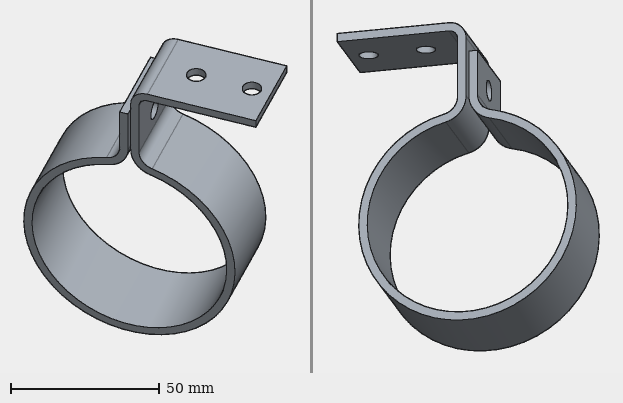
import cadquery as cq
import math

thickness = 3.0
width = 30.0

inner_radius = 35.0
outer_radius = inner_radius + thickness

leg_gap = 1.0
leg_inner_x = leg_gap / 2
leg_outer_x = leg_inner_x + thickness
short_leg_top = 59.0

neck_inner_radius = 6.0
neck_outer_radius = neck_inner_radius + thickness
flange_bend_inner_radius = 3.0
flange_bend_outer_radius = flange_bend_inner_radius + thickness

flange_top = 70.0
flange_end_x = 45.5
flange_underside = flange_top - thickness

clamp_hole_diameter = 7.0
clamp_hole_z = 50.0
flange_hole_diameter = 6.5
flange_hole_edge_distance = 7.0
flange_hole_pitch = 20.0

neck_center_x = leg_outer_x + neck_inner_radius
neck_center_z = math.sqrt((outer_radius + neck_inner_radius) ** 2 - neck_center_x ** 2)
neck_angle = math.atan2(neck_center_z, neck_center_x)


def ring_point(radius, side):
    """Point where the neck bend meets the ring; side is +1 for +X, -1 for -X."""
    return (side * radius * math.cos(neck_angle), radius * math.sin(neck_angle))


def neck_midpoint(radius, side):
    """Middle of the neck bend, which turns from the leg down to the ring."""
    middle_angle = neck_angle / 2
    return (
        side * (neck_center_x - radius * math.cos(middle_angle)),
        neck_center_z - radius * math.sin(middle_angle),
    )


def bend_midpoint(radius):
    """Middle of the quarter bend between the long leg and the flange."""
    center_x = leg_inner_x + flange_bend_outer_radius
    center_z = flange_top - flange_bend_outer_radius
    offset = radius * math.sqrt(0.5)
    return (center_x - offset, center_z + offset)


def make_strip():
    """Constant-thickness strip outline, extruded symmetrically along Y."""
    bend_end_x = leg_inner_x + flange_bend_outer_radius
    bend_start_z = flange_top - flange_bend_outer_radius
    return (
        cq.Workplane("XZ")
        .moveTo(-leg_inner_x, short_leg_top)
        .lineTo(-leg_inner_x, neck_center_z)
        .threePointArc(neck_midpoint(neck_outer_radius, -1), ring_point(inner_radius, -1))
        .threePointArc((0, -inner_radius), ring_point(inner_radius, 1))
        .threePointArc(neck_midpoint(neck_outer_radius, 1), (leg_inner_x, neck_center_z))
        .lineTo(leg_inner_x, bend_start_z)
        .threePointArc(bend_midpoint(flange_bend_outer_radius), (bend_end_x, flange_top))
        .lineTo(flange_end_x, flange_top)
        .lineTo(flange_end_x, flange_underside)
        .lineTo(bend_end_x, flange_underside)
        .threePointArc(bend_midpoint(flange_bend_inner_radius), (leg_outer_x, bend_start_z))
        .lineTo(leg_outer_x, neck_center_z)
        .threePointArc(neck_midpoint(neck_inner_radius, 1), ring_point(outer_radius, 1))
        .threePointArc((0, -outer_radius), ring_point(outer_radius, -1))
        .threePointArc(neck_midpoint(neck_inner_radius, -1), (-leg_outer_x, neck_center_z))
        .lineTo(-leg_outer_x, short_leg_top)
        .close()
        .extrude(width / 2, both=True)
    )


def make_clamp_hole():
    """Cutter for the clamping bolt, along X through both legs."""
    return (
        cq.Workplane("YZ")
        .center(0, clamp_hole_z)
        .circle(clamp_hole_diameter / 2)
        .extrude(leg_outer_x, both=True)
    )


def make_flange_holes():
    """Cutters for the two mounting holes, along Z through the flange."""
    end_hole_x = flange_end_x - flange_hole_edge_distance
    return (
        cq.Workplane("XY")
        .workplane(offset=flange_underside)
        .pushPoints([(end_hole_x, 0), (end_hole_x - flange_hole_pitch, 0)])
        .circle(flange_hole_diameter / 2)
        .extrude(thickness)
    )


result = make_strip().cut(make_clamp_hole()).cut(make_flange_holes())